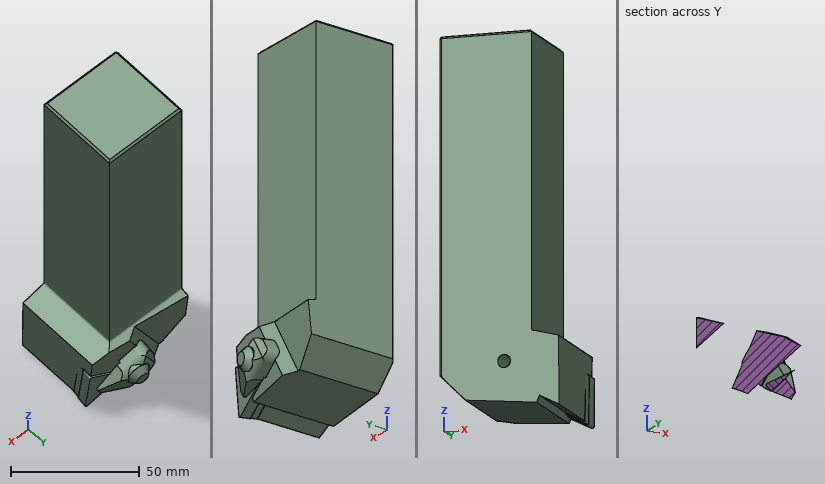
import cadquery as cq
import math

SHANK = 38.1
TIP_OFFSET = 50.8
LENGTH = 152.4
OVERALL_DEPTH = 51.24
SHANK_CHAMFER = 0.9

SHOULDER_Z = 32.0
SHOULDER_ANGLE = 15.0
SHOULDER_FILLET = 0.8
HEAD_SIDE_TOP_X = 49.2
HEAD_SIDE_LOW_X = 49.5
HEEL_CHAMFER = 10.8
HEEL_Z = 5.9
BOTTOM_ANGLE = 6.0
NOTCH_X = 40.2
NOTCH_TOP_X = 41.4
NOTCH_TOP_Z = 5.5
HEAD_TIP_Z = 1.3
HEAD_DEPTH = 48.0

SEAT_SLOPE = math.tan(math.radians(6))
INSERT_EDGE = 22.0
NOSE_RADIUS = 0.8
INSERT_THICKNESS = 4.76
EDGE_TILT = 28.0

SHIM_THICKNESS = 3.18
SHIM_INSET = 0.2

LOW_FLOOR = -INSERT_THICKNESS
HIGH_FLOOR = -0.8
STEP_LOW_S = -35.6
STEP_HIGH_S = -30.7

SCREW_S = -24.0
SCREW_T = -4.7
CLAMP_T = -4.0
CLAMP_TAIL_S = -33.2
CLAMP_WAIST_S = -20.0
CLAMP_NOSE_S = -7.5
CLAMP_HALF_WIDTH = 6.1
CLAMP_TAIL_RADIUS = 4.2
CLAMP_EDGE_RADIUS = 4.0
CLAMP_NOSE_HALF_WIDTH = 1.8
CLAMP_TOP = 7.0
CLAMP_TAIL_RIM = 2.8
CLAMP_TAIL_ROUND = 2.2
CLAMP_CROWN_S = -27.0
CLAMP_NOSE_TOP = 1.0
CLAMP_HEEL_S = -21.5
SCREW_HEAD_RADIUS = 5.2
SCREW_TOP_RADIUS = 2.8
SCREW_DOME = 2.8
SCREW_HOLE_DIAMETER = 5.2
SCREW_HOLE_DEPTH = 37.0

BIG = 120.0

edge = math.radians(EDGE_TILT)
seat_normal = cq.Vector(SEAT_SLOPE, 1, -SEAT_SLOPE).normalized()
level_s = cq.Vector(math.cos(edge), 0, -math.sin(edge))
s_dir = (level_s - seat_normal * level_s.dot(seat_normal)).normalized()
t_dir = seat_normal.cross(s_dir)
nose_center = cq.Vector(
    TIP_OFFSET - NOSE_RADIUS * math.sqrt(1 - seat_normal.x ** 2),
    SHANK,
    NOSE_RADIUS * math.sqrt(1 - seat_normal.z ** 2),
)


def seat_plane(w):
    """Plane parallel to the insert's top face, at height w above it."""
    return cq.Workplane(cq.Plane(nose_center + seat_normal * w, s_dir, seat_normal))


def profile_plane():
    """Plane of s and w, at right angles to the seat."""
    return cq.Workplane(cq.Plane(nose_center, s_dir, t_dir * -1))


def triangle(w, radius, thickness):
    """Round-cornered triangular plate with its top at height w."""
    spacing = INSERT_EDGE - 2 * NOSE_RADIUS * math.sqrt(3)
    corners = [(0, 0), (-spacing, 0), (-spacing / 2, -spacing * math.sqrt(3) / 2)]
    return seat_plane(w).polyline(corners).close().offset2D(radius).extrude(-thickness)


def make_blank():
    """Shank and head: the front outline crossed with the side outline."""
    draft = math.tan(math.radians(SHOULDER_ANGLE))
    notch_z = HEEL_Z - (NOTCH_X - HEEL_CHAMFER) * math.tan(math.radians(BOTTOM_ANGLE))
    front = (
        cq.Workplane("XZ")
        .polyline([
            (0, LENGTH),
            (0, HEEL_Z + HEEL_CHAMFER),
            (HEEL_CHAMFER, HEEL_Z),
            (NOTCH_X, notch_z),
            (NOTCH_TOP_X, NOTCH_TOP_Z),
            (HEAD_SIDE_LOW_X, HEAD_TIP_Z),
            (HEAD_SIDE_TOP_X, SHOULDER_Z - (HEAD_SIDE_TOP_X - SHANK) * draft),
            (SHANK, SHOULDER_Z),
            (SHANK, LENGTH),
        ])
        .close()
        .extrude(-HEAD_DEPTH)
    )
    side = (
        cq.Workplane("YZ")
        .polyline([
            (0, 0),
            (HEAD_DEPTH, 0),
            (HEAD_DEPTH, SHOULDER_Z - (HEAD_DEPTH - SHANK) * draft),
            (SHANK, SHOULDER_Z),
            (SHANK, LENGTH),
            (0, LENGTH),
        ])
        .close()
        .extrude(BIG)
    )
    blank = front.intersect(side)
    blank = blank.faces(">Z").edges().chamfer(SHANK_CHAMFER)
    blank = blank.edges("<X and |Z").edges("<Y").chamfer(SHANK_CHAMFER)
    margin = SHOULDER_FILLET
    shoulder_top = SHOULDER_Z + margin
    shoulder_bottom = SHOULDER_Z - margin
    outer_corner = (SHANK + margin, SHANK + margin, shoulder_top)
    back_edge = cq.selectors.BoxSelector((-margin, SHANK - margin, shoulder_bottom), outer_corner)
    side_edge = cq.selectors.BoxSelector((SHANK - margin, -margin, shoulder_bottom), outer_corner)
    return blank.edges(back_edge + side_edge).fillet(SHOULDER_FILLET)


def make_seat_cut():
    """Everything behind the stepped seat floor."""
    outline = [
        (-BIG, LOW_FLOOR),
        (STEP_LOW_S, LOW_FLOOR),
        (STEP_HIGH_S, HIGH_FLOOR),
        (BIG, HIGH_FLOOR),
        (BIG, BIG),
        (-BIG, BIG),
    ]
    cut = profile_plane().polyline(outline).close().extrude(BIG, both=True)
    head_space = cq.Workplane("XY").box(BIG, BIG, SHOULDER_Z, centered=(True, True, False))
    return cut.intersect(head_space)


def make_clamp():
    """Clamp: plan outline, long side profile and rounded cross-section, all intersected."""
    side = CLAMP_HALF_WIDTH
    nose = CLAMP_NOSE_HALF_WIDTH
    height = CLAMP_TOP - LOW_FLOOR
    plan_points = [
        (CLAMP_TAIL_S, CLAMP_T - side),
        (CLAMP_TAIL_S, CLAMP_T + side),
        (CLAMP_WAIST_S, CLAMP_T + side),
        (CLAMP_NOSE_S, CLAMP_T + nose),
        (CLAMP_NOSE_S, CLAMP_T - nose),
        (CLAMP_WAIST_S, CLAMP_T - side),
    ]
    plan = seat_plane(LOW_FLOOR).polyline(plan_points).close().extrude(height)
    tail_corners = [
        seat_plane(LOW_FLOOR + height / 2).plane.toWorldCoords((CLAMP_TAIL_S, CLAMP_T + side * way))
        for way in (-1, 1)
    ]
    for corner in tail_corners:
        plan = plan.edges(cq.selectors.NearestToPointSelector(corner)).fillet(CLAMP_TAIL_RADIUS)

    profile_points = [
        (CLAMP_TAIL_S, LOW_FLOOR),
        (CLAMP_TAIL_S, CLAMP_TAIL_RIM),
        (CLAMP_TAIL_S + CLAMP_TAIL_ROUND, CLAMP_TAIL_RIM + CLAMP_TAIL_ROUND),
        (CLAMP_CROWN_S, CLAMP_TOP),
        (CLAMP_WAIST_S, CLAMP_TOP),
        (CLAMP_NOSE_S, CLAMP_NOSE_TOP),
        (CLAMP_NOSE_S, 0),
        (CLAMP_HEEL_S, 0),
        (CLAMP_HEEL_S, LOW_FLOOR),
    ]
    profile = profile_plane().polyline(profile_points).close().extrude(BIG, both=True)

    section_plane = cq.Plane(seat_plane(LOW_FLOOR).plane.toWorldCoords((0, CLAMP_T)), t_dir, s_dir * -1)
    section = (
        cq.Workplane(section_plane)
        .rect(2 * side, 2 * height)
        .extrude(BIG)
        .edges(cq.selectors.ParallelDirSelector(s_dir))
        .fillet(CLAMP_EDGE_RADIUS)
    )
    return plan.intersect(profile).intersect(section)


screw_axis_point = nose_center + s_dir * SCREW_S + t_dir * SCREW_T


def make_screw_head():
    """Domed screw head whose highest rim point sets the overall depth."""
    top_y = OVERALL_DEPTH - SCREW_TOP_RADIUS * math.sqrt(1 - seat_normal.y ** 2)
    top_w = (top_y - screw_axis_point.y) / seat_normal.y
    rim_w = top_w - SCREW_DOME
    dome = cq.Plane(screw_axis_point, s_dir, t_dir * -1)
    return (
        cq.Workplane(dome)
        .lineTo(SCREW_HEAD_RADIUS, 0)
        .lineTo(SCREW_HEAD_RADIUS, rim_w)
        .lineTo(SCREW_TOP_RADIUS, top_w)
        .lineTo(0, top_w)
        .close()
        .revolve(360, (0, 0, 0), (0, 1, 0))
    )


def make_screw_hole():
    """Blind hole on the screw axis, open at the front face."""
    front_w = -screw_axis_point.y / seat_normal.y
    start = screw_axis_point + seat_normal * (front_w - SCREW_HOLE_DIAMETER)
    plane = cq.Plane(start, s_dir, seat_normal)
    length = SCREW_HOLE_DEPTH + SCREW_HOLE_DIAMETER
    return cq.Workplane(plane).circle(SCREW_HOLE_DIAMETER / 2).extrude(length)


insert = triangle(0, NOSE_RADIUS, INSERT_THICKNESS)
shim = triangle(LOW_FLOOR, NOSE_RADIUS - SHIM_INSET, SHIM_THICKNESS)

holder = (
    make_blank()
    .cut(make_seat_cut())
    .union(shim)
    .union(make_clamp())
    .union(make_screw_head())
    .cut(make_screw_hole())
    .cut(insert)
)

result = cq.Compound.makeCompound([holder.val(), insert.val()])